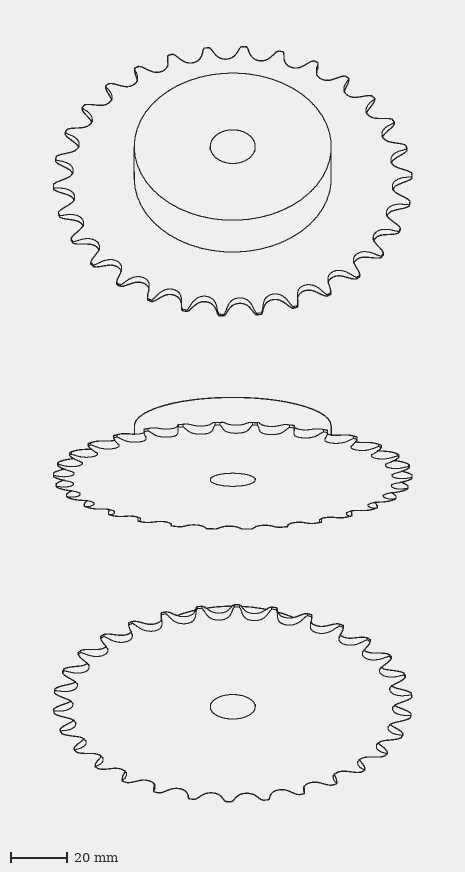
import cadquery as cq
import math

TOOTH_COUNT = 30
CHAIN_PITCH = 12.7
ROLLER_DIAMETER = 7.75

OUTER_DIAMETER = 127.5
PLATE_THICKNESS = 3.0
TOTAL_HEIGHT = 20.0
HUB_DIAMETER = 70.0
BORE_DIAMETER = 16.0

SEAT_CLEARANCE = 0.0381
SEAT_RADIUS = 0.5025 * ROLLER_DIAMETER + SEAT_CLEARANCE
SEAT_END_ANGLE = math.radians(35 + 60 / TOOTH_COUNT)
WORKING_SWEEP = math.radians(18 - 56 / TOOTH_COUNT)
WORKING_CENTER_OFFSET = 0.8 * ROLLER_DIAMETER
WORKING_RADIUS = WORKING_CENTER_OFFSET + SEAT_RADIUS
TIP_CENTER_OFFSET = 1.4 * ROLLER_DIAMETER

RELIEF_START_RADIUS = 58.6
RELIEF_ARC_RADIUS = 13.0

OUTER_RADIUS = OUTER_DIAMETER / 2
TOOTH_STEP = 2 * math.pi / TOOTH_COUNT
PITCH_RADIUS = CHAIN_PITCH / (2 * math.sin(TOOTH_STEP / 2))
ROOT_RADIUS = PITCH_RADIUS - SEAT_RADIUS


def polar(radius, angle):
    return (radius * math.cos(angle), radius * math.sin(angle))


def point_on_arc(center, radius, angle):
    x, y = polar(radius, angle)
    return (center[0] + x, center[1] + y)


def mirrored(point):
    return (point[0], -point[1])


def flank_points():
    """Points along one side of a roller gap centred on +X, from the seat out to the tooth tip.

    The order is seat end, working arc middle and end, tip arc start, middle and end.
    All stretches are tangent to each other, and the last point is on the outer circle.
    """
    working_center = (
        PITCH_RADIUS + WORKING_CENTER_OFFSET * math.sin(SEAT_END_ANGLE),
        -WORKING_CENTER_OFFSET * math.cos(SEAT_END_ANGLE),
    )
    working_start_angle = math.pi / 2 + SEAT_END_ANGLE
    flank_normal_angle = working_start_angle - WORKING_SWEEP
    working_middle_angle = working_start_angle - WORKING_SWEEP / 2
    seat_end = point_on_arc(working_center, WORKING_RADIUS, working_start_angle)
    working_middle = point_on_arc(working_center, WORKING_RADIUS, working_middle_angle)
    working_end = point_on_arc(working_center, WORKING_RADIUS, flank_normal_angle)

    tip_center = (
        PITCH_RADIUS - TIP_CENTER_OFFSET * math.sin(TOOTH_STEP / 2),
        TIP_CENTER_OFFSET * math.cos(TOOTH_STEP / 2),
    )
    tip_radius = (
        (tip_center[0] - working_end[0]) * math.cos(flank_normal_angle)
        + (tip_center[1] - working_end[1]) * math.sin(flank_normal_angle)
    )
    tip_start_angle = flank_normal_angle - math.pi
    tip_start = point_on_arc(tip_center, tip_radius, tip_start_angle)

    center_distance = math.hypot(*tip_center)
    cosine = (OUTER_RADIUS**2 + center_distance**2 - tip_radius**2) / (2 * OUTER_RADIUS * center_distance)
    tip_end = polar(OUTER_RADIUS, math.atan2(tip_center[1], tip_center[0]) - math.acos(cosine))
    tip_end_angle = math.atan2(tip_end[1] - tip_center[1], tip_end[0] - tip_center[0])
    tip_middle = point_on_arc(tip_center, tip_radius, (tip_start_angle + tip_end_angle) / 2)

    return seat_end, working_middle, working_end, tip_start, tip_middle, tip_end


def make_roller_gap():
    """Cutter for one gap between teeth, centred on +X and open past the outer circle."""
    seat_end, working_middle, working_end, tip_start, tip_middle, tip_end = flank_points()
    clear_x = OUTER_RADIUS + SEAT_RADIUS
    return (
        cq.Workplane("XY")
        .moveTo(*mirrored(seat_end))
        .threePointArc((ROOT_RADIUS, 0), seat_end)
        .threePointArc(working_middle, working_end)
        .lineTo(*tip_start)
        .threePointArc(tip_middle, tip_end)
        .lineTo(clear_x, tip_end[1])
        .lineTo(clear_x, -tip_end[1])
        .lineTo(*mirrored(tip_end))
        .threePointArc(mirrored(tip_middle), mirrored(tip_start))
        .lineTo(*mirrored(working_end))
        .threePointArc(mirrored(working_middle), mirrored(seat_end))
        .close()
        .extrude(PLATE_THICKNESS)
    )


def make_disc():
    """Revolved plate whose rim is thinned on both faces by arcs tangent to the faces."""
    run = OUTER_RADIUS - RELIEF_START_RADIUS

    def relief_drop(distance):
        return RELIEF_ARC_RADIUS - math.sqrt(RELIEF_ARC_RADIUS**2 - distance**2)

    rim_drop = relief_drop(run)
    middle_x = RELIEF_START_RADIUS + run / 2
    middle_drop = relief_drop(run / 2)
    return (
        cq.Workplane("XZ")
        .lineTo(RELIEF_START_RADIUS, 0)
        .threePointArc((middle_x, middle_drop), (OUTER_RADIUS, rim_drop))
        .lineTo(OUTER_RADIUS, PLATE_THICKNESS - rim_drop)
        .threePointArc((middle_x, PLATE_THICKNESS - middle_drop), (RELIEF_START_RADIUS, PLATE_THICKNESS))
        .lineTo(0, PLATE_THICKNESS)
        .close()
        .revolve(360, (0, 0), (0, 1))
    )


def make_toothed_plate():
    """Disc with a roller gap on either side of the tooth that points along +X."""
    plate = make_disc()
    gap = make_roller_gap()
    for index in range(TOOTH_COUNT):
        angle = math.degrees((index + 0.5) * TOOTH_STEP)
        plate = plate.cut(gap.rotate((0, 0, 0), (0, 0, 1), angle))
    return plate


def make_hub():
    return cq.Workplane("XY").circle(HUB_DIAMETER / 2).extrude(TOTAL_HEIGHT)


def make_bore():
    return cq.Workplane("XY").circle(BORE_DIAMETER / 2).extrude(TOTAL_HEIGHT)


result = make_toothed_plate().union(make_hub()).cut(make_bore())